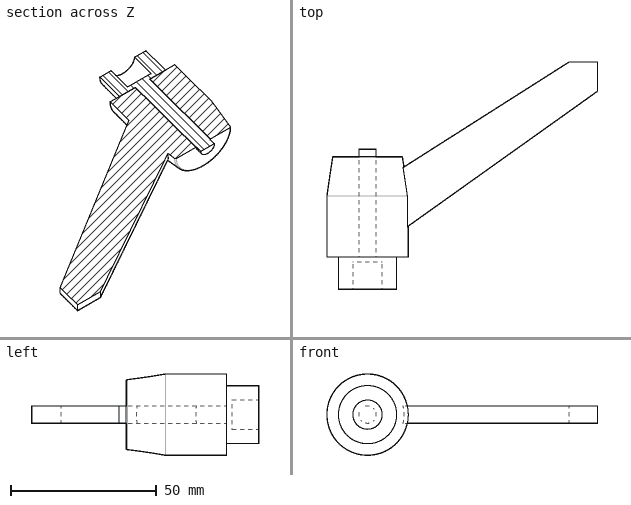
import cadquery as cq


hub_diameter = 28.0
hub_top_radius = 12.0
hub_straight_length = 21.0
hub_taper_length = 13.5
hub_edge_round = 0.5

sleeve_diameter = 20.0
sleeve_length = 11.1
bore_radius = 5.0
bore_depth = 9.3
stem_radius = 3.0
stem_protrusion = 2.5

arm_thickness = 5.95
arm_root_x = 9.3
arm_root_low_y = 18.3
arm_root_high_y = 40.0
arm_tip_low_y = 68.0
arm_tip_flat = 9.9

overall_length = 93.0
overall_height = 78.0
hub_radius = hub_diameter / 2
sleeve_radius = sleeve_diameter / 2
arm_tip_x = overall_length - hub_radius
hub_taper_y = sleeve_length + hub_straight_length
hub_top_y = hub_taper_y + hub_taper_length
stem_length = hub_top_y + stem_protrusion - sleeve_length


def cylinder_along_y(radius, start_y, length):
    """Cylinder on the Y axis, running from start_y toward +Y."""
    return cq.Workplane("XZ", origin=(0, start_y, 0)).circle(radius).extrude(-length)


def make_hub():
    """Round hub with a straight lower part and a tapered, edge-rounded top."""
    hub = (
        cq.Workplane("XY")
        .moveTo(0, sleeve_length)
        .lineTo(hub_radius, sleeve_length)
        .lineTo(hub_radius, hub_taper_y)
        .lineTo(hub_top_radius, hub_top_y)
        .lineTo(0, hub_top_y)
        .close()
        .revolve(360, (0, 0, 0), (0, 1, 0))
    )
    return hub.faces(">Y").edges().fillet(hub_edge_round)


def make_arm():
    """Flat slanting arm, rooted inside the hub, with a clipped tip."""
    outline = [
        (arm_root_x, arm_root_low_y),
        (arm_tip_x, arm_tip_low_y),
        (arm_tip_x, overall_height),
        (arm_tip_x - arm_tip_flat, overall_height),
        (arm_root_x, arm_root_high_y),
    ]
    return cq.Workplane("XY").polyline(outline).close().extrude(arm_thickness / 2, both=True)


def make_handle():
    """Hub and arm in one piece, with a through hole for the insert's stem."""
    stem_hole = cylinder_along_y(stem_radius, sleeve_length, stem_length)
    return make_hub().union(make_arm()).cut(stem_hole)


def make_insert():
    """Sleeve with a blind bore, and a thin stem passing through the handle."""
    sleeve = cylinder_along_y(sleeve_radius, 0, sleeve_length)
    stem = cylinder_along_y(stem_radius, sleeve_length, stem_length)
    bore = cylinder_along_y(bore_radius, 0, bore_depth)
    return sleeve.union(stem).cut(bore)


handle = make_handle()
insert = make_insert()

result = cq.Compound.makeCompound([handle.solids().val(), insert.solids().val()])